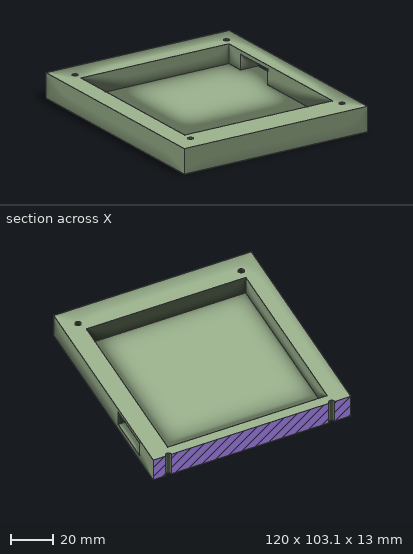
import cadquery as cq

length = 120.0
width = 103.1
height = 13.0

end_wall = 15.0
side_wall = 10.0
pocket_depth = 10.0
pocket_length = length - 2 * end_wall
pocket_width = width - 2 * side_wall
floor_thickness = height - pocket_depth

opening_length = 23.5
opening_offset = 10.2
lintel_height = 2.0
opening_height = pocket_depth - lintel_height

hole_diameter = 2.9
hole_end_margin = 10.0
hole_front_margin = 10.0
hole_back_margin = 8.0


def make_block():
    return cq.Workplane("XY").box(length, width, height, centered=(True, True, False))


def make_pocket():
    return (
        cq.Workplane("XY")
        .workplane(offset=floor_thickness)
        .rect(pocket_length, pocket_width)
        .extrude(pocket_depth)
    )


def make_wall_opening():
    start_x = -pocket_length / 2 + opening_offset
    return (
        cq.Workplane("XY")
        .box(opening_length, side_wall, opening_height, centered=False)
        .translate((start_x, pocket_width / 2, floor_thickness))
    )


def make_rim_holes():
    hole_x = length / 2 - hole_end_margin
    front_y = -width / 2 + hole_front_margin
    back_y = width / 2 - hole_back_margin
    centres = [(x, y) for x in (-hole_x, hole_x) for y in (front_y, back_y)]
    return cq.Workplane("XY").pushPoints(centres).circle(hole_diameter / 2).extrude(height)


result = make_block().cut(make_pocket()).cut(make_wall_opening()).cut(make_rim_holes())